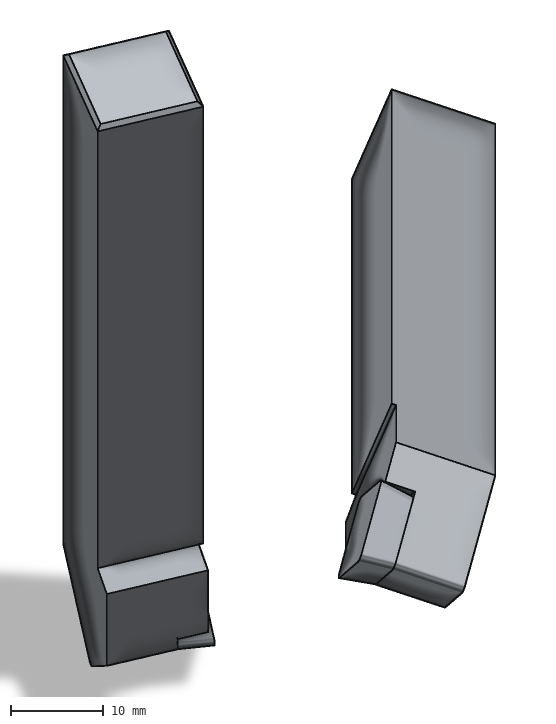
import cadquery as cq
import math

total_length = 86.41
total_width = 16.0
shank_size = 12.0
end_chamfer = 0.5

insert_side = 9.525
insert_thickness = 3.97
nose_radius = 0.8
relief_angle = 7.0
insert_face_y = shank_size

corner_reach = insert_side / math.sqrt(2) - nose_radius * (math.sqrt(2) - 1)
insert_x = total_width - corner_reach
insert_z = corner_reach

head_width = 15.2
shoulder_z = 18.0
shoulder_angle = 15.0
head_recess = 0.5

seat_side = insert_side - 2 * insert_thickness * math.tan(math.radians(relief_angle))
flank_apex_z = insert_z - seat_side / math.sqrt(2)
back_flank_z = flank_apex_z + insert_x
front_flank_z = flank_apex_z + head_width - insert_x
shoulder_drop = (head_width - shank_size) * math.tan(math.radians(shoulder_angle))


def corner_square(side):
    """Square standing on one corner, with all four corners rounded."""
    return cq.Sketch().rect(side, side, angle=45).vertices().fillet(nose_radius)


def rake_plane():
    """Plane of the cutting face, centred on the insert and pointing into the holder."""
    return cq.Plane(origin=(insert_x, insert_face_y, insert_z), xDir=(1, 0, 0), normal=(0, -1, 0))


def make_insert():
    """Plate that tapers from its rake face (+Y) to its seat, with the same nose radius throughout."""
    seat_place = cq.Location(cq.Vector(0, 0, insert_thickness))
    return (
        cq.Workplane(rake_plane())
        .placeSketch(corner_square(insert_side), corner_square(seat_side).moved(seat_place))
        .loft(ruled=True)
    )


def make_holder():
    """Square shank with a pointed head, recessed on +Y, with a straight-walled insert pocket."""
    outline = [
        (0, total_length),
        (shank_size, total_length),
        (shank_size, shoulder_z),
        (head_width, shoulder_z - shoulder_drop),
        (head_width, front_flank_z),
        (insert_x, flank_apex_z),
        (0, back_flank_z),
    ]
    body = cq.Workplane("XZ").polyline(outline).close().extrude(-shank_size)
    body = body.edges("|Y and <Z").fillet(nose_radius)
    body = body.faces(">Z").chamfer(end_chamfer)
    recess = cq.Workplane("XY").box(total_width, head_recess, shoulder_z, centered=False)
    recess = recess.translate((0, shank_size - head_recess, 0))
    pocket = cq.Workplane(rake_plane()).placeSketch(corner_square(insert_side)).extrude(insert_thickness)
    return body.cut(recess).cut(pocket)


insert = make_insert()
holder = make_holder()

result = cq.Compound.makeCompound([holder.val(), insert.val()])